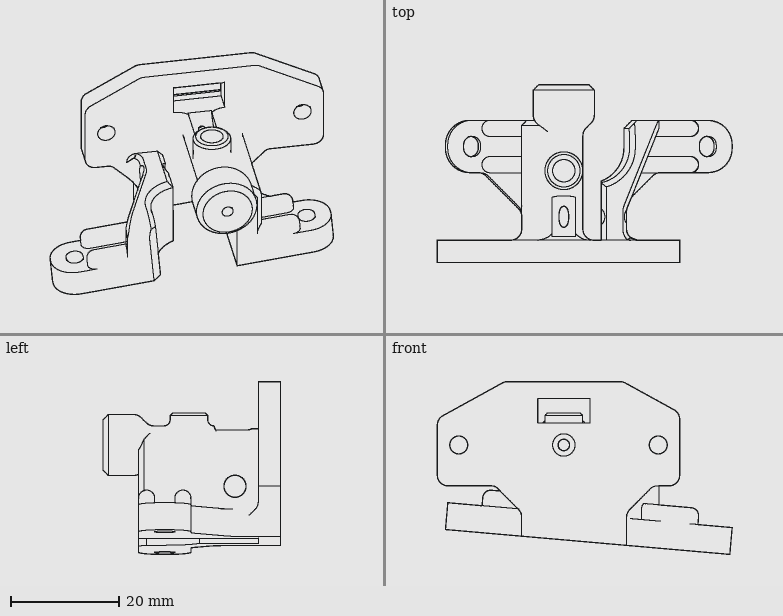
import cadquery as cq
import math


blend = 2.0
small_chamfer = 1.0

plate_thickness = 4.15
plate_left = -23.45
plate_width = 44.9
plate_right = plate_left + plate_width
plate_middle = plate_left + plate_width / 2
plate_top = 11.75
top_flat_half = 10.9
shoulder_slope = 0.55
ear_bottom = -7.6
neck_left = -7.8
neck_right = 11.65
neck_corner_z = -12.5
ear_corner_blend = 1.5
screw_hole_radius = 1.65
screw_hole_half_spacing = 18.45
window_half_width = 4.8
window_bottom = 4.1
window_height = 4.5
face_skin = 0.5
window_rear_bottom = 3.0

tilt = math.radians(5)
base_z = -17.6
tilted_base = cq.Plane(
    origin=(0, 0, base_z),
    xDir=(math.cos(tilt), 0, -math.sin(tilt)),
    normal=(math.sin(tilt), 0, math.cos(tilt)),
)
far = 109.2
deep_z = -24.6

body_back = 26.3
tube_radius = 3.55
bore_radius = 1.05
roof_angle = math.radians(38)
side_wall_inner = -3.0

inlet_radius = 2.1
inlet_depth = plate_thickness
cup_radius = 5.7
cup_back = 32.95
cup_front = 26.45
cup_chamfer = 1.05
boss_y = 17.0
boss_radius = 3.5
boss_top = 5.95
boss_chamfer = 0.5
boss_blend = 1.1
boss_hole_radius = 2.1
boss_hole_depth = 4.0

shaft_y = 8.45
shaft_z = -7.65
shaft_hole_radius = 2.0
roller_radius = 4.0
roller_half_width = 2.2
roller_gap = 0.55

wall_left = 6.9
wall_top = -5.35
wall_taper_start = 9.85
wall_back_right = 17.65
wall_taper_end = 24.9
wall_round = 3.95
wall_edge_chamfer = 1.0
wall_outer_chamfer = 0.7
relief_radius = 6.55
relief_x = 4.6
relief_y = 21.2
relief_end_y = 24.8

lug_radius = 4.55
lug_flat = 0.65
lug_y = body_back - lug_radius - lug_flat / 2
lug_front = body_back - 2 * lug_radius - lug_flat
lug_thickness = 5.0
lug_hole_width = 3.1
left_lug_x = -17.5
right_lug_x = 26.3
rib_radius = 1.5
rib_step = 1.5
rib_inset = 3.35
left_root = -6.0
right_root = 13.65
left_gusset = 7.25
right_gusset = 5.0


def y_prism(points, start, end):
    """Prism along Y from an outline of (X, Z) points."""
    return (
        cq.Workplane("XZ", origin=(0, start, 0)).polyline(points).close().extrude(start - end)
    )


def y_cylinder(radius, start, end, x=0.0, z=0.0):
    return cq.Workplane("XZ", origin=(x, start, z)).circle(radius).extrude(start - end)


def make_plate():
    left_shoulder = plate_top + (plate_left + top_flat_half) * shoulder_slope
    right_shoulder = plate_top - (plate_right - top_flat_half) * shoulder_slope
    flank = ear_bottom - neck_corner_z
    outline = [
        (-top_flat_half, plate_top),
        (top_flat_half, plate_top),
        (plate_right, right_shoulder),
        (plate_right, ear_bottom),
        (neck_right + flank, ear_bottom),
        (neck_right, neck_corner_z),
        (neck_right, deep_z),
        (neck_left, deep_z),
        (neck_left, neck_corner_z),
        (neck_left - flank, ear_bottom),
        (plate_left, ear_bottom),
        (plate_left, left_shoulder),
    ]
    plate = y_prism(outline, 0, plate_thickness)

    def is_ear_root(edge):
        middle = edge.Center()
        inside_ears = plate_left + 2.75 < middle.x < plate_right - 2.75
        return inside_ears and abs(middle.z - ear_bottom) < 0.05

    corners = plate.edges("|Y").filter(lambda edge: edge.Center().z > ear_bottom - 0.55)
    plate = corners.filter(lambda edge: not is_ear_root(edge)).fillet(blend)
    return plate.edges("|Y").filter(is_ear_root).fillet(ear_corner_blend)


def is_boss_joint(edge):
    """True on the curve where the boss rises from the tube and the roof."""
    middle = edge.Center()
    reach = math.hypot(middle.x, middle.y - boss_y)
    on_boss = reach < boss_radius + 0.05 and 0 < middle.z < boss_top - 2 * boss_chamfer
    return edge.geomType() != "LINE" and on_boss


def make_body():
    """Side wall, roof tangent to the filament tube, and the boss on top."""
    tangent_x = -tube_radius * math.sin(roof_angle)
    tangent_z = tube_radius * math.cos(roof_angle)
    eave_z = tangent_z - (tangent_x - neck_left) * math.tan(roof_angle)
    section = [
        (neck_left, deep_z),
        (neck_left, eave_z),
        (tangent_x, tangent_z),
        (0, 0),
        (side_wall_inner, 0),
        (side_wall_inner, deep_z),
    ]
    body = y_prism(section, 0, body_back)
    eave = body.edges("|Y").filter(lambda edge: abs(edge.Center().z - eave_z) < 0.05)
    body = eave.fillet(blend)
    rear_outline = body.faces(">Y").edges()
    outside = rear_outline.filter(lambda edge: edge.Center().x < side_wall_inner - 0.55)
    body = outside.filter(lambda edge: edge.Center().z > deep_z + 0.55).chamfer(small_chamfer)
    boss = (
        cq.Workplane("XY", origin=(0, boss_y, 0))
        .circle(boss_radius)
        .extrude(boss_top)
        .faces(">Z")
        .chamfer(boss_chamfer)
    )
    body = body.union(y_cylinder(tube_radius, 0, body_back)).union(boss)
    return body.edges().filter(is_boss_joint).fillet(boss_blend)


def make_cup():
    """Outlet cup: a 45 degree shoulder blended into the cup and into the tube."""
    tangent = blend * math.tan(math.radians(22.5))
    drop = tangent * math.sin(math.radians(45))
    sag = blend * (1 - math.cos(math.radians(22.5)))
    side = blend * math.sin(math.radians(22.5))
    tube_y = cup_front - (cup_radius - tube_radius)
    return (
        cq.Workplane("XY")
        .moveTo(0, tube_y - tangent)
        .lineTo(tube_radius, tube_y - tangent)
        .threePointArc(
            (tube_radius + sag, tube_y - tangent + side), (tube_radius + drop, tube_y + drop)
        )
        .lineTo(cup_radius - drop, cup_front - drop)
        .threePointArc(
            (cup_radius - sag, cup_front + tangent - side), (cup_radius, cup_front + tangent)
        )
        .lineTo(cup_radius, cup_back - cup_chamfer)
        .lineTo(cup_radius - cup_chamfer, cup_back)
        .lineTo(0, cup_back)
        .close()
        .revolve(360, (0, 0, 0), (0, 1, 0))
    )


def make_wall():
    """Right wall with a curved relief square to the tilted base and a rounded back."""
    plan = [
        (wall_left, 0),
        (neck_right, 0),
        (neck_right, wall_taper_start),
        (wall_back_right, wall_taper_end),
        (wall_back_right, body_back),
        (wall_left, body_back),
    ]
    wall = (
        cq.Workplane("XY", origin=(0, 0, deep_z)).polyline(plan).close().extrude(wall_top - deep_z)
    )
    taper_corner = cq.selectors.NearestToPointSelector((neck_right, wall_taper_start, 0))
    wall = wall.edges("|Z").edges(taper_corner).fillet(blend)
    relief_side = relief_x + relief_radius
    run_out = body_back - relief_end_y
    relief = (
        cq.Workplane(tilted_base)
        .moveTo(relief_x, relief_y - relief_radius)
        .threePointArc(
            (
                relief_x + relief_radius * math.sin(math.pi / 4),
                relief_y - relief_radius * math.cos(math.pi / 4),
            ),
            (relief_side, relief_y),
        )
        .lineTo(relief_side, relief_end_y)
        .lineTo(relief_side + run_out, body_back)
        .lineTo(relief_side + run_out, body_back + 0.55)
        .lineTo(relief_x, body_back + 0.55)
        .close()
        .extrude(far, both=True)
    )
    wall = wall.cut(relief)
    wall = wall.faces(">Z").edges(">Y").fillet(wall_round)
    return wall.edges("not |Z").filter(is_wall_inner_rim).chamfer(wall_edge_chamfer)


def is_wall_inner_rim(edge):
    """True on the top rim facing the gap, from the plate to the end of the relief."""
    middle = edge.Center()
    on_top = middle.z > wall_top - wall_round / 2
    front_part = middle.y < relief_y - 2.75 and middle.x < neck_right - 0.05
    rear_part = relief_y - 2.75 < middle.y < relief_end_y and middle.x < neck_right + 1.1
    return on_top and edge.BoundingBox().ylen > 0.55 and (front_part or rear_part)


def is_wall_outer_rim(edge):
    """True on the outer rim of the right wall's flat top, including its plate blend."""
    middle = edge.Center()
    on_top = abs(middle.z - wall_top) < 0.005 and edge.BoundingBox().ylen > 0.55
    rear_reach = edge.BoundingBox().xmax > wall_left + 2.75 and middle.y < body_back - wall_round
    return on_top and rear_reach and (middle.y < wall_taper_start or middle.x > 13.65)


def make_lug(centre_x, root_x, root_face_x, gusset):
    """Tilted lug with a round end, two ribs and a 45 degree gusset; all in the base plane."""
    outward = math.copysign(1, centre_x)
    tip_x = centre_x + outward * lug_radius
    diagonal = lug_radius * math.sqrt(0.5)
    rear_corner = body_back - lug_radius
    front_corner = lug_front + lug_radius
    inside = root_face_x - outward * 1.65
    lug = (
        cq.Workplane(tilted_base)
        .moveTo(root_x, body_back)
        .lineTo(centre_x, body_back)
        .threePointArc(
            (centre_x + outward * diagonal, rear_corner + diagonal), (tip_x, rear_corner)
        )
        .lineTo(tip_x, front_corner)
        .threePointArc(
            (centre_x + outward * diagonal, front_corner - diagonal), (centre_x, lug_front)
        )
        .lineTo(root_face_x + outward * gusset, lug_front)
        .lineTo(inside, lug_front - gusset - abs(root_face_x - inside))
        .lineTo(root_x, lug_front)
        .close()
        .extrude(lug_thickness)
    )
    gusset_x = tilted_base.toWorldCoords((root_face_x + outward * gusset, lug_front, 0)).x
    lug = (
        lug.edges("|(%f, 0, %f)" % (math.sin(tilt), math.cos(tilt)))
        .filter(lambda edge: abs(edge.Center().x - gusset_x) < 0.55 and edge.Center().y < lug_y)
        .fillet(blend)
    )
    rib_end = centre_x - outward * rib_inset
    for rib_y in (body_back - rib_radius, lug_front + rib_radius):
        lug = lug.union(make_rib(root_x, rib_end, rib_y))
    return lug


def make_rib(root_x, end_x, rib_y):
    """Round-topped rib standing on a lug, with a spherical end at end_x."""
    spine_height = lug_thickness + rib_step
    foot = (
        cq.Workplane(tilted_base)
        .center((root_x + end_x) / 2, rib_y)
        .rect(abs(end_x - root_x), 2 * rib_radius)
        .extrude(spine_height)
    )
    post = cq.Workplane(tilted_base).center(end_x, rib_y).circle(rib_radius).extrude(spine_height)
    spine_start = tilted_base.toWorldCoords((root_x, rib_y, spine_height))
    spine_end = tilted_base.toWorldCoords((end_x, rib_y, spine_height))
    spine = cq.Solid.makeCylinder(
        rib_radius, abs(end_x - root_x), spine_start, spine_end - spine_start
    )
    dome = cq.Workplane("XY", origin=spine_end.toTuple()).sphere(rib_radius)
    return foot.union(post).union(cq.Workplane(spine)).union(dome)


def cut_tools():
    """Everything removed from the finished outside shape."""
    inlet = y_cylinder(inlet_radius, 0, inlet_depth)
    bore = y_cylinder(bore_radius, 0, cup_back)
    boss_hole = (
        cq.Workplane("XY", origin=(0, boss_y, boss_top))
        .circle(boss_hole_radius)
        .extrude(-boss_hole_depth)
    )
    window = cq.Workplane("XY").box(
        2 * window_half_width, 2 * plate_thickness, window_height, centered=(True, True, False)
    ).translate((0, 0, window_bottom))
    window_rear = cq.Workplane("XY").box(
        2 * window_half_width,
        plate_thickness + blend - face_skin,
        window_bottom + window_height - window_rear_bottom,
        centered=(True, False, False),
    ).translate((0, face_skin, window_rear_bottom))
    shaft = (
        cq.Workplane("YZ", origin=(neck_left, shaft_y, shaft_z))
        .circle(shaft_hole_radius)
        .extrude(far)
    )
    tools = [inlet, bore, boss_hole, window, window_rear, shaft]
    for side in (-1, 1):
        screw_x = plate_middle + side * screw_hole_half_spacing
        tools.append(y_cylinder(screw_hole_radius, 0, plate_thickness, screw_x))
        roller_z = side * (roller_radius + roller_gap)
        tools.append(
            cq.Workplane("YZ", origin=(-roller_half_width, shaft_y, roller_z))
            .circle(roller_radius)
            .extrude(2 * roller_half_width)
        )
    for lug_x in (left_lug_x, right_lug_x):
        tools.append(
            cq.Workplane(tilted_base)
            .center(lug_x, lug_y)
            .slot2D(lug_hole_width + lug_flat, lug_hole_width, 90)
            .extrude(lug_thickness)
        )
    tools.append(cq.Workplane(tilted_base).rect(far, far).extrude(-far))
    return tools


def is_plate_joint(edge):
    """True on the concave edges where the body and the right wall rise from the plate."""
    middle = edge.Center()
    on_back = abs(middle.y - plate_thickness) < 0.005 and edge.BoundingBox().ylen < 0.1
    body_height = ear_bottom * 2 < middle.z < tube_radius
    body_side = on_back and neck_left - 0.05 < middle.x < tube_radius and body_height
    inner_corner = middle.x > side_wall_inner - 0.05 and middle.z < -tube_radius
    wall_height = deep_z < middle.z < wall_top - 0.05
    wall_side = on_back and wall_left + 2.75 < middle.x < neck_right + 0.05 and wall_height
    return (body_side and not inner_corner) or wall_side


def is_neck_corner(edge):
    """True on the two edges where the plate's 45 degree flanks meet the neck."""
    middle = edge.Center()
    return abs(middle.z - neck_corner_z) < 0.05 and middle.y < plate_thickness


def is_gusset_root(edge):
    """True on the upright concave edges where the gussets meet the body and the right wall."""
    middle = edge.Center()
    box = edge.BoundingBox()
    upright = lug_thickness / 2 < box.zlen < 2 * lug_thickness and box.ylen < box.zlen / 2
    left_root_edge = abs(middle.x - neck_left) < 0.05
    right_root_edge = neck_right < middle.x < neck_right + 1.1
    on_gusset = plate_thickness + blend < middle.y < lug_front and middle.z < shaft_z
    return upright and on_gusset and (left_root_edge or right_root_edge)


result = make_plate().union(make_body()).union(make_wall())
result = result.edges().filter(lambda edge: is_plate_joint(edge) or is_neck_corner(edge)).fillet(blend)
result = result.edges("not |Z").filter(is_wall_outer_rim).chamfer(wall_outer_chamfer)
result = result.union(make_cup())
result = result.union(make_lug(left_lug_x, left_root, neck_left, left_gusset))
result = result.union(make_lug(right_lug_x, right_root, neck_right, right_gusset))
result = result.edges().filter(is_gusset_root).fillet(blend)
for tool in cut_tools():
    result = result.cut(tool)